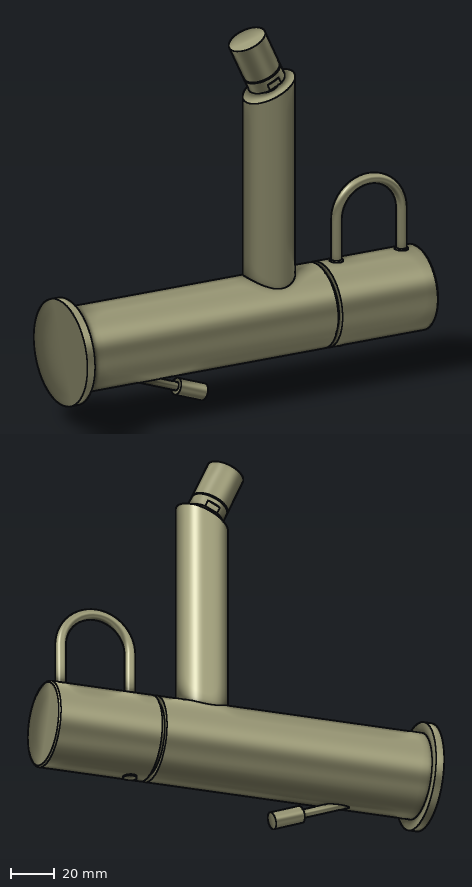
import cadquery as cq
import math


flange_diameter = 50.0
flange_thickness = 4.0
body_diameter = 40.0
overall_length = 186.84
handle_length = 50.5
handle_edge_chamfer = 0.8
neck_barrel_diameter = 34.5
neck_handle_diameter = 33.5
neck_length = 2.3
handle_start = overall_length - handle_length
body_end = handle_start - neck_length
body_radius = body_diameter / 2

spout_diameter = 24.0
spout_y = 109.0
spout_height = 110.0
aerator_tilt = 25.0
stem_diameter = 9.5
stem_length = 2.8
aerator_diameter = 18.0
aerator_length = 24.4
aerator_groove_offset = 5.8
aerator_groove_width = 0.5
aerator_groove_depth = 0.2
flat_width = 6.4
flat_height = 3.2

lever_setback = 25.0
lever_y = handle_start + lever_setback
lever_rod_diameter = 5.0
lever_leg_spacing = 34.0
lever_bend_height = 39.7
collar_diameter = 6.4
collar_taper_height = 0.6

button_diameter = 6.4
button_tip_diameter = 2.0
button_straight_height = 0.5
button_taper_height = 0.5

rod_angle = 20.0
rod_diameter = 4.0
knob_diameter = 8.0
knob_length = 15.0
knob_end_y = 74.65
knob_end_z = -31.63
rod_length = 40.0


def cylinder_along_y(diameter, start, length):
    """Cylinder on the Y axis, growing towards +Y from the given position."""
    return cq.Workplane("XZ", origin=(0, start, 0)).circle(diameter / 2).extrude(-length)


def make_neck():
    """Neck joining the barrel to the handle, narrowing slightly towards the handle."""
    half_section = (
        cq.Workplane("XY")
        .moveTo(0, body_end)
        .lineTo(neck_barrel_diameter / 2, body_end)
        .lineTo(neck_handle_diameter / 2, handle_start)
        .lineTo(0, handle_start)
        .close()
    )
    return half_section.revolve(360, (0, 0, 0), (0, 1, 0))


def make_body():
    flange = cylinder_along_y(flange_diameter, 0, flange_thickness)
    barrel = cylinder_along_y(body_diameter, 0, body_end)
    handle = cylinder_along_y(body_diameter, handle_start, handle_length)
    handle = handle.faces(">Y").edges().chamfer(handle_edge_chamfer)
    return flange.union(barrel).union(make_neck()).union(handle)


def spout_end_plane():
    """Plane of the slanted spout end; its normal leans towards -Y."""
    tilt = math.radians(aerator_tilt)
    return cq.Plane(
        origin=(0, spout_y, spout_height),
        xDir=(1, 0, 0),
        normal=(0, -math.sin(tilt), math.cos(tilt)),
    )


def make_spout():
    tube = cq.Workplane("XY", origin=(0, spout_y, 0)).circle(spout_diameter / 2)
    tube = tube.extrude(spout_height + spout_diameter)
    waste_size = 3 * spout_diameter
    waste = cq.Workplane(spout_end_plane()).rect(waste_size, waste_size).extrude(waste_size)
    return tube.cut(waste)


def make_aerator():
    end = cq.Workplane(spout_end_plane())
    radius = aerator_diameter / 2
    stem = end.circle(stem_diameter / 2).extrude(stem_length + flat_height)
    head = end.workplane(offset=stem_length).circle(radius).extrude(aerator_length)

    groove = end.workplane(offset=stem_length + aerator_groove_offset).circle(radius)
    groove = groove.circle(radius - aerator_groove_depth).extrude(aerator_groove_width)
    head = head.cut(groove)

    flat_distance = math.sqrt(radius**2 - (flat_width / 2) ** 2)
    for side in (-1, 1):
        flat = end.workplane(offset=stem_length).center(side * (flat_distance + radius / 2), 0)
        head = head.cut(flat.rect(radius, aerator_diameter).extrude(flat_height))
    return stem.union(head)


def make_tapered_post(base_diameter, tip_diameter, taper_height, straight_height=0):
    """Post on the Z axis; above the body surface it has an optional straight part and a taper."""
    taper_start = body_radius + straight_height
    half_section = (
        cq.Workplane("XZ")
        .lineTo(base_diameter / 2, 0)
        .lineTo(base_diameter / 2, taper_start)
        .lineTo(tip_diameter / 2, taper_start + taper_height)
        .lineTo(0, taper_start + taper_height)
        .close()
    )
    return half_section.revolve(360, (0, 0, 0), (0, 1, 0))


def make_lever():
    half = lever_leg_spacing / 2
    path = (
        cq.Workplane("YZ")
        .moveTo(lever_y - half, 0)
        .lineTo(lever_y - half, lever_bend_height)
        .threePointArc((lever_y, lever_bend_height + half), (lever_y + half, lever_bend_height))
        .lineTo(lever_y + half, 0)
    )
    profile = cq.Workplane("XY", origin=(0, lever_y - half, 0)).circle(lever_rod_diameter / 2)
    lever = profile.sweep(path)
    for side in (-1, 1):
        collar = make_tapered_post(collar_diameter, lever_rod_diameter, collar_taper_height)
        lever = lever.union(collar.translate((0, lever_y + side * half, 0)))
    return lever


def make_button():
    """Tapered button on the underside, opposite the front lever leg."""
    button_y = lever_y - lever_leg_spacing / 2
    button = make_tapered_post(
        button_diameter, button_tip_diameter, button_taper_height, button_straight_height
    )
    return button.mirror("XY").translate((0, button_y, 0))


def make_pull_rod():
    """Knob and rod sharing one axis that rises towards -Y into the body."""
    angle = math.radians(rod_angle)
    axis_plane = cq.Plane(
        origin=(0, knob_end_y, knob_end_z),
        xDir=(1, 0, 0),
        normal=(0, -math.cos(angle), math.sin(angle)),
    )
    knob = cq.Workplane(axis_plane).circle(knob_diameter / 2).extrude(knob_length)
    rod = cq.Workplane(axis_plane).circle(rod_diameter / 2).extrude(knob_length + rod_length)
    return knob.union(rod)


result = make_body()
for feature in (make_spout(), make_aerator(), make_lever(), make_button(), make_pull_rod()):
    result = result.union(feature)